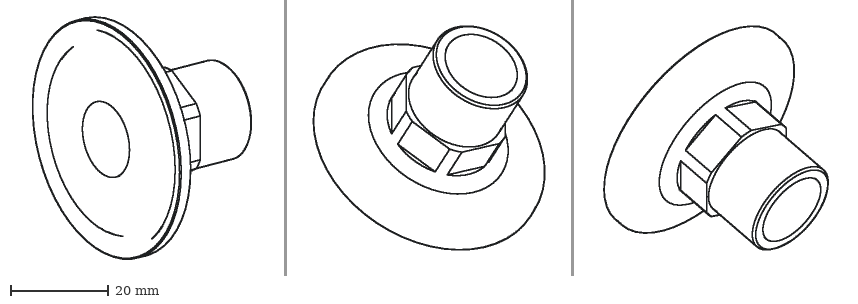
import cadquery as cq
import math

TOTAL_LENGTH = 30.0
BORE_DIAMETER = 16.0

FLANGE_DIAMETER = 50.5
FLANGE_THICKNESS = 6.4
RIM_HEIGHT = 2.85
BACK_ANGLE = 20.0
RIM_FILLET = 0.8
FACE_CHAMFER = 0.25

GROOVE_DIAMETER = 43.5
GROOVE_OPENING = 4.05
GROOVE_BOTTOM_RADIUS = 1.2
GROOVE_LIP_RADIUS = 0.8
GROOVE_WALL_ANGLE = 70.0

COLLAR_DIAMETER = 24.0
COLLAR_FILLET = 0.8
HEX_SIDES = 6
HEX_START = 8.0
HEX_END = 16.0
HEX_ACROSS_FLATS = 22.0

SPIGOT_DIAMETER = 20.955
SPIGOT_CHAMFER = 0.5


def cylinder(diameter, start, end):
    """Solid cylinder about the Y axis between two axial positions."""
    plane = cq.Workplane("XZ", origin=(0, start, 0))
    return plane.circle(diameter / 2).extrude(start - end)


def revolve_about_y(profile):
    """Revolve a closed XY profile about the part axis."""
    return profile.close().revolve(360, (0, 0, 0), (0, 1, 0))


def make_flange():
    """Clamp flange with conical back, rounded rim and chamfered face edge."""
    radius = FLANGE_DIAMETER / 2
    slope = math.radians(BACK_ANGLE)
    back_radius = radius - (FLANGE_THICKNESS - RIM_HEIGHT) / math.tan(slope)

    turn = math.pi / 2 - slope
    setback = RIM_FILLET * math.tan(turn / 2)
    centre_x = radius - RIM_FILLET
    centre_y = RIM_HEIGHT - setback
    middle = (
        centre_x + RIM_FILLET * math.cos(turn / 2),
        centre_y + RIM_FILLET * math.sin(turn / 2),
    )
    back_tangent = (
        centre_x + RIM_FILLET * math.cos(turn),
        centre_y + RIM_FILLET * math.sin(turn),
    )
    return revolve_about_y(
        cq.Workplane("XY")
        .moveTo(0, 0)
        .lineTo(radius - FACE_CHAMFER, 0)
        .lineTo(radius, FACE_CHAMFER)
        .lineTo(radius, centre_y)
        .threePointArc(middle, back_tangent)
        .lineTo(back_radius, FLANGE_THICKNESS)
        .lineTo(0, FLANGE_THICKNESS)
    )


def make_collar():
    """Round collar with a concave fillet down to the flange back."""
    radius = COLLAR_DIAMETER / 2
    centre_x = radius + COLLAR_FILLET
    centre_y = FLANGE_THICKNESS + COLLAR_FILLET
    diagonal = COLLAR_FILLET * math.sqrt(0.5)
    return revolve_about_y(
        cq.Workplane("XY")
        .moveTo(0, FLANGE_THICKNESS)
        .lineTo(centre_x, FLANGE_THICKNESS)
        .threePointArc((centre_x - diagonal, centre_y - diagonal), (radius, centre_y))
        .lineTo(radius, HEX_START)
        .lineTo(0, HEX_START)
    )


def make_hex():
    """Hexagon with flats facing +X and -X, its corners rounded to the collar diameter."""
    half_sector = 180 / HEX_SIDES
    across_corners = HEX_ACROSS_FLATS / math.cos(math.radians(half_sector))
    prism = (
        cq.Workplane("XZ", origin=(0, HEX_START, 0))
        .transformed(rotate=(0, 0, half_sector))
        .polygon(HEX_SIDES, across_corners)
        .extrude(HEX_START - HEX_END)
    )
    return prism.intersect(cylinder(COLLAR_DIAMETER, HEX_START, HEX_END))


def make_spigot():
    """Cylindrical end with a chamfered outer edge."""
    spigot = cylinder(SPIGOT_DIAMETER, HEX_END, TOTAL_LENGTH)
    return spigot.faces(">Y").chamfer(SPIGOT_CHAMFER)


def make_groove():
    """Ring cutter: a round groove bottom, steep straight walls and rounded lips on both sides."""
    centre = GROOVE_DIAMETER / 2
    wall = math.radians(GROOVE_WALL_ANGLE)
    inner_edge = centre - GROOVE_OPENING / 2
    outer_edge = centre + GROOVE_OPENING / 2
    bottom_half = GROOVE_BOTTOM_RADIUS * math.sin(wall)
    lip_width = GROOVE_LIP_RADIUS * math.sin(wall)
    lip_depth = GROOVE_LIP_RADIUS * (1 - math.cos(wall))

    wall_width = GROOVE_OPENING / 2 - lip_width - bottom_half
    wall_depth = lip_depth + wall_width * math.tan(wall)
    depth = wall_depth + GROOVE_BOTTOM_RADIUS * (1 - math.cos(wall))

    lip_middle_x = GROOVE_LIP_RADIUS * math.sin(wall / 2)
    lip_middle_y = GROOVE_LIP_RADIUS * (1 - math.cos(wall / 2))
    return revolve_about_y(
        cq.Workplane("XY")
        .moveTo(inner_edge, 0)
        .threePointArc((inner_edge + lip_middle_x, lip_middle_y), (inner_edge + lip_width, lip_depth))
        .lineTo(centre - bottom_half, wall_depth)
        .threePointArc((centre, depth), (centre + bottom_half, wall_depth))
        .lineTo(outer_edge - lip_width, lip_depth)
        .threePointArc((outer_edge - lip_middle_x, lip_middle_y), (outer_edge, 0))
    )


body = make_flange().union(make_collar()).union(make_hex()).union(make_spigot())
result = body.cut(make_groove()).cut(cylinder(BORE_DIAMETER, 0, TOTAL_LENGTH))